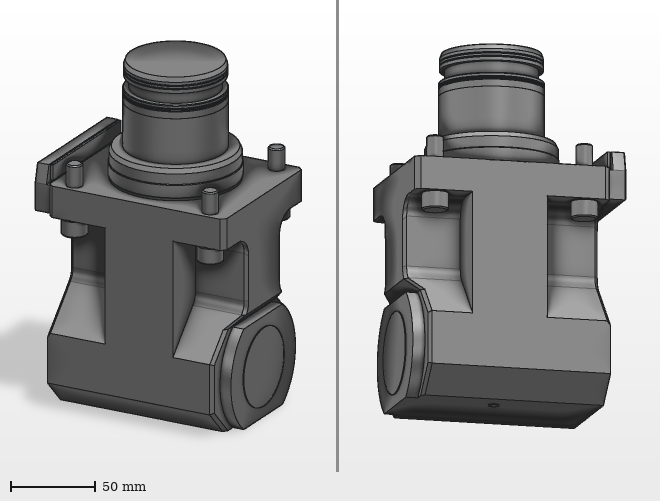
import cadquery as cq
import math


HALF_LENGTH = 60.0
HALF_WIDTH = 49.0
BODY_BOTTOM = -142.0
FLANGE_THICKNESS = 20.0
FLANGE_CORNER_CHAMFER = 3.0
BOTTOM_CHAMFER = 16.0
NECK_HALF_WIDTH = 21.0
POCKET_SLOPE_END = -94.0
POCKET_RADIUS = 11.0
POST_X_MIN = -21.0
POST_X_MAX = 25.0
EDGE_CHAMFER = 2.0
NECK_FILLET_OVERLAP = 5.0
JOIN_DEPTH = 1.0

RELIEF_X = 52.0
RELIEF_TOP = -69.5
COVER_Z = -110.0
COVER_DIAMETER = 80.0
COVER_FLAT_DISTANCE = COVER_Z - BODY_BOTTOM
COVER_FACE_X = 59.4
COVER_PAD_DIAMETER = 50.0

COLLAR_DIAMETER = 79.5
COLLAR_HEIGHT = 20.0
COLLAR_BAND_DIAMETER = 80.5
COLLAR_BAND_START = 1.5
COLLAR_BAND_END = 10.4
COLLAR_LEAD_IN = 1.5
LEAD_IN_HEIGHT = 3.0

STEM_DIAMETER = 63.0
GUIDE_DIAMETER = 63.08
GUIDE_START = 49.0
GUIDE_END = 57.5
NECK_DIAMETER = 56.0
HEAD_DIAMETER = 62.0
HEAD_TOP_DIAMETER = 59.8
HEAD_START = 65.0
STEM_TOP = 75.0
SMALL_CHAMFER = 0.5
GROOVE_WIDTH = 0.7
HEAD_GROOVE_DIAMETER = 59.8
HEAD_GROOVE_STARTS = (67.3, 69.4)
GUIDE_GROOVE_DIAMETER = 61.0
GUIDE_GROOVE_STARTS = (53.4, 54.8)

SCREW_X = 46.0
SCREW_Y = 41.0
SCREW_DIAMETER = 10.0
SCREW_TIP = 14.0
SCREW_HEAD_DIAMETER = 16.0
SCREW_HEAD_HEIGHT = 11.0
SCREW_TIP_CHAMFER = 0.8
SCREW_HEAD_CHAMFER = 0.8

PLATE_FACE_X = -70.5
PLATE_HALF_WIDTH = 45.65
PLATE_TOP = 10.5
PLATE_BOTTOM = -19.0
PLATE_TAPER_START = -1.2
PLATE_TAPER = 3.0
PLATE_EDGE_CHAMFER = 0.6
PLATE_BACK_X = -62.5
LIP_STEP = 0.7
LIP_BOTTOM = 0.6
LIP_GROOVE_WIDTH = 0.8
LIP_GROOVE_DEPTH = 1.0
PLATE_PIN_DIAMETER = 6.0
PLATE_PIN_Y = 38.0
PLATE_PIN_Z = 5.4
PLATE_PIN_HEIGHT = 0.5
PLATE_PIN_CHAMFER = 0.45

BUTTON_X = 3.4
BUTTON_Y = 17.5
BUTTON_DIAMETER = 6.0
BUTTON_HEIGHT = 0.55


def box(x_min, x_max, y_min, y_max, z_min, z_max):
    size = (x_max - x_min, y_max - y_min, z_max - z_min)
    return cq.Workplane("XY").box(*size, centered=False).translate((x_min, y_min, z_min))


def bar_along_x(x_start, x_end, y, z, diameter):
    plane = cq.Workplane("YZ", origin=(x_start, y, z))
    return plane.circle(diameter / 2).extrude(x_end - x_start)


def make_flange():
    flange = box(-HALF_LENGTH, HALF_LENGTH, -HALF_WIDTH, HALF_WIDTH, -FLANGE_THICKNESS, 0)
    return flange.edges("|Z").chamfer(FLANGE_CORNER_CHAMFER)


def column_section(x, neck_inset=0.0, block_inset=0.0):
    """Cross-section wire at the given X, with the neck and bottom block set in for an end chamfer."""
    neck = NECK_HALF_WIDTH - neck_inset
    block = HALF_WIDTH - block_inset
    radius = POCKET_RADIUS + neck_inset
    slope_drop = math.sqrt(2) * neck_inset
    bevel_shift = math.sqrt(2) * block_inset
    slope_sum = HALF_WIDTH + POCKET_SLOPE_END - slope_drop
    bevel_difference = HALF_WIDTH - BOTTOM_CHAMFER - BODY_BOTTOM - bevel_shift
    arc_center_z = slope_sum - neck + radius * math.tan(math.pi / 8)

    def arc_point(degrees):
        angle = math.radians(degrees)
        return (neck + radius * (1 - math.cos(angle)), arc_center_z - radius * math.sin(angle))

    def mirrored(point):
        return (-point[0], point[1])

    bevel_bottom = (bevel_difference + BODY_BOTTOM, BODY_BOTTOM)
    bevel_top = (block, block - bevel_difference)
    slope_bottom = (block, slope_sum - block)
    neck_top = (neck, -FLANGE_THICKNESS)
    return (
        cq.Workplane("YZ", origin=(x, 0, 0))
        .moveTo(*bevel_bottom).lineTo(*bevel_top).lineTo(*slope_bottom)
        .lineTo(*arc_point(45)).threePointArc(arc_point(22.5), arc_point(0))
        .lineTo(*neck_top).lineTo(*mirrored(neck_top))
        .lineTo(*mirrored(arc_point(0)))
        .threePointArc(mirrored(arc_point(22.5)), mirrored(arc_point(45)))
        .lineTo(*mirrored(slope_bottom)).lineTo(*mirrored(bevel_top)).lineTo(*mirrored(bevel_bottom))
        .close().val()
    )


def ruled_solid(*wires):
    return cq.Workplane(cq.Solid.makeLoft(list(wires), True))


def column_length(x_start, x_end):
    return ruled_solid(column_section(x_start), column_section(x_end))


def front_end(x_end):
    """Full section from the middle of the part to x_end, with a chamfered end outline."""
    x_chamfer = x_end - EDGE_CHAMFER
    tip = ruled_solid(column_section(x_chamfer), column_section(x_end, EDGE_CHAMFER, EDGE_CHAMFER))
    return column_length(0, x_chamfer).union(tip)


def relief_step_section(z, x_end):
    """Horizontal section of the neck's 45 degree step at height z, with its chamfered corners."""
    wall = HALF_WIDTH + POCKET_SLOPE_END - z
    wall_at_end = wall - math.sqrt(2) * EDGE_CHAMFER
    x_chamfer = x_end - EDGE_CHAMFER
    return cq.Workplane("XY", origin=(0, 0, z)).polyline([
        (0, -wall), (x_chamfer, -wall), (x_end, -wall_at_end),
        (x_end, wall_at_end), (x_chamfer, wall), (0, wall),
    ]).close().val()


def make_column():
    """Body below the flange: bottom block, narrow neck and stepped +X end, chamfered at both ends."""
    step_bottom = RELIEF_TOP - (HALF_LENGTH - RELIEF_X)
    upper_zone = box(0, HALF_LENGTH, -HALF_WIDTH, HALF_WIDTH, RELIEF_TOP, 0)
    lower_zone = box(0, HALF_LENGTH, -HALF_WIDTH, HALF_WIDTH, BODY_BOTTOM, step_bottom)
    step = ruled_solid(
        relief_step_section(step_bottom, RELIEF_X), relief_step_section(RELIEF_TOP, HALF_LENGTH)
    )
    rear_chamfer_x = EDGE_CHAMFER - HALF_LENGTH
    rear_tip = ruled_solid(column_section(-HALF_LENGTH, EDGE_CHAMFER), column_section(rear_chamfer_x))
    column = column_length(rear_chamfer_x, 0).union(rear_tip)
    column = column.union(front_end(HALF_LENGTH).intersect(upper_zone))
    return column.union(step).union(front_end(RELIEF_X).intersect(lower_zone))


def make_post():
    return box(POST_X_MIN, POST_X_MAX, -HALF_WIDTH, HALF_WIDTH, POCKET_SLOPE_END, -FLANGE_THICKNESS)


def neck_fillet_section(x, inset):
    """Corner fillet between neck and flange underside, as a wire at the given X and wall inset."""
    wall = NECK_HALF_WIDTH - inset
    radius = POCKET_RADIUS + inset
    root = wall - NECK_FILLET_OVERLAP
    ceiling = -FLANGE_THICKNESS
    arc_mid = radius * (1 - math.sqrt(0.5))
    return (
        cq.Workplane("YZ", origin=(x, 0, 0))
        .moveTo(root, ceiling)
        .lineTo(wall + radius, ceiling)
        .threePointArc((wall + arc_mid, ceiling - arc_mid), (wall, ceiling - radius))
        .lineTo(root, ceiling - radius)
        .close().val()
    )


def make_neck_fillets():
    """Fillets under the flange; at each end they widen into the chamfer of the neck."""
    stations = [
        (-HALF_LENGTH, EDGE_CHAMFER),
        (EDGE_CHAMFER - HALF_LENGTH, 0),
        (HALF_LENGTH - EDGE_CHAMFER, 0),
        (HALF_LENGTH, EDGE_CHAMFER),
    ]
    one_side = ruled_solid(*[neck_fillet_section(x, inset) for x, inset in stations])
    return one_side.union(one_side.mirror("XZ"))


def make_cover():
    cover = bar_along_x(RELIEF_X - JOIN_DEPTH, COVER_FACE_X, 0, COVER_Z, COVER_DIAMETER)
    cover = cover.intersect(box(
        0, HALF_LENGTH, -HALF_WIDTH, HALF_WIDTH,
        COVER_Z - COVER_FLAT_DISTANCE, COVER_Z + COVER_FLAT_DISTANCE,
    ))
    return cover.union(bar_along_x(RELIEF_X, HALF_LENGTH, 0, COVER_Z, COVER_PAD_DIAMETER))


def groove_points(radius, groove_radius, starts):
    """Outline points, going up, of narrow grooves in a cylinder."""
    points = []
    for start in starts:
        end = start + GROOVE_WIDTH
        points += [(radius, start), (groove_radius, start), (groove_radius, end), (radius, end)]
    return points


def make_stem():
    """Collar and stepped stem, turned as one piece."""
    collar = COLLAR_DIAMETER / 2
    band = COLLAR_BAND_DIAMETER / 2
    band_step = band - collar
    stem = STEM_DIAMETER / 2
    guide = GUIDE_DIAMETER / 2
    neck = NECK_DIAMETER / 2
    head = HEAD_DIAMETER / 2
    outline = [
        (0, -JOIN_DEPTH),
        (collar, -JOIN_DEPTH),
        (collar, COLLAR_BAND_START),
        (band, COLLAR_BAND_START + band_step),
        (band, COLLAR_BAND_END - band_step),
        (collar, COLLAR_BAND_END),
        (collar, COLLAR_HEIGHT - LEAD_IN_HEIGHT),
        (collar - COLLAR_LEAD_IN, COLLAR_HEIGHT),
        (stem, COLLAR_HEIGHT),
        (stem, GUIDE_START),
        (guide, GUIDE_START),
        *groove_points(guide, GUIDE_GROOVE_DIAMETER / 2, GUIDE_GROOVE_STARTS),
        (guide, GUIDE_END - SMALL_CHAMFER),
        (guide - SMALL_CHAMFER, GUIDE_END),
        (neck, GUIDE_END),
        (neck, HEAD_START),
        (head, HEAD_START),
        *groove_points(head, HEAD_GROOVE_DIAMETER / 2, HEAD_GROOVE_STARTS),
        (head, STEM_TOP - LEAD_IN_HEIGHT),
        (HEAD_TOP_DIAMETER / 2, STEM_TOP),
        (0, STEM_TOP),
    ]
    return cq.Workplane("XZ").polyline(outline).close().revolve(360, (0, 0, 0), (0, 1, 0))


def make_screw(x, y):
    shank = (
        cq.Workplane("XY", origin=(x, y, -FLANGE_THICKNESS))
        .circle(SCREW_DIAMETER / 2).extrude(FLANGE_THICKNESS + SCREW_TIP)
        .faces(">Z").chamfer(SCREW_TIP_CHAMFER)
    )
    head = (
        cq.Workplane("XY", origin=(x, y, -FLANGE_THICKNESS))
        .circle(SCREW_HEAD_DIAMETER / 2).extrude(-SCREW_HEAD_HEIGHT)
        .faces("|Z").chamfer(SCREW_HEAD_CHAMFER)
    )
    return shank.union(head)


def make_side_plate():
    """Plate with leaning ends, a thin lip above the flange edge and two pins."""
    half_top = PLATE_HALF_WIDTH - PLATE_TAPER
    plate = (
        cq.Workplane("YZ", origin=(PLATE_FACE_X, 0, 0))
        .polyline([
            (-PLATE_HALF_WIDTH, PLATE_BOTTOM),
            (PLATE_HALF_WIDTH, PLATE_BOTTOM),
            (PLATE_HALF_WIDTH, PLATE_TAPER_START),
            (half_top, PLATE_TOP),
            (-half_top, PLATE_TOP),
            (-PLATE_HALF_WIDTH, PLATE_TAPER_START),
        ]).close().extrude(PLATE_BACK_X - PLATE_FACE_X)
        .faces("<X").chamfer(PLATE_EDGE_CHAMFER)
    )
    foot = box(PLATE_BACK_X - JOIN_DEPTH, -HALF_LENGTH, -PLATE_HALF_WIDTH, PLATE_HALF_WIDTH,
               PLATE_BOTTOM, PLATE_TAPER_START)
    lip_half = half_top - LIP_STEP
    lip_front_x = PLATE_BACK_X + LIP_GROOVE_WIDTH
    lip = box(lip_front_x, -HALF_LENGTH, -lip_half, lip_half, LIP_BOTTOM, PLATE_TOP)
    core_half = lip_half - LIP_GROOVE_DEPTH
    core = box(PLATE_BACK_X, lip_front_x, -core_half, core_half,
               LIP_BOTTOM, PLATE_TOP - LIP_GROOVE_DEPTH)
    plate = plate.union(foot).union(core).union(lip)
    pin_tip_x = PLATE_FACE_X - PLATE_PIN_HEIGHT
    for y in (-PLATE_PIN_Y, PLATE_PIN_Y):
        pin = bar_along_x(pin_tip_x, PLATE_BACK_X, y, PLATE_PIN_Z, PLATE_PIN_DIAMETER)
        plate = plate.union(pin.faces("<X").chamfer(PLATE_PIN_CHAMFER))
    return plate


def make_button():
    plane = cq.Workplane("XY", origin=(BUTTON_X, BUTTON_Y, BODY_BOTTOM))
    return plane.circle(BUTTON_DIAMETER / 2).extrude(-BUTTON_HEIGHT)


result = make_column().union(make_neck_fillets()).union(make_post()).union(make_flange())
result = result.union(make_cover()).union(make_stem()).union(make_side_plate()).union(make_button())
for screw_x in (-SCREW_X, SCREW_X):
    for screw_y in (-SCREW_Y, SCREW_Y):
        result = result.union(make_screw(screw_x, screw_y))